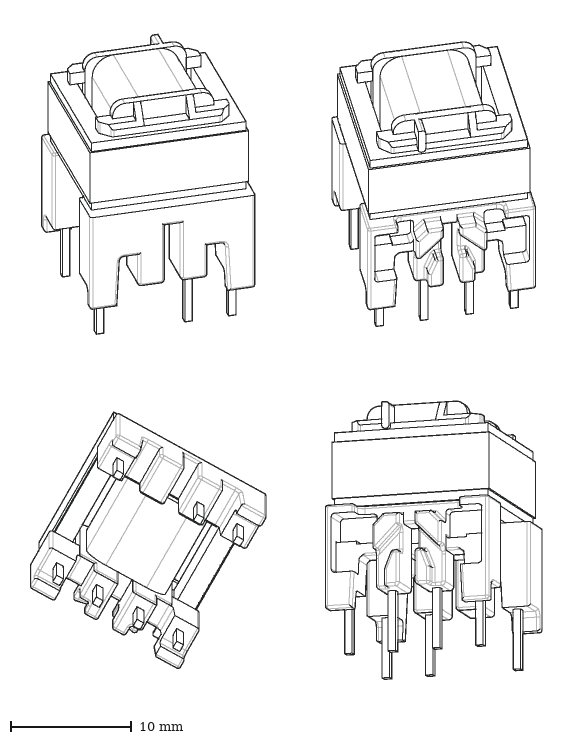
import cadquery as cq

TOP = 21.0
LENGTH_X = 14.92
WIDTH_Y = 14.25
half_x = LENGTH_X / 2
half_y = WIDTH_Y / 2

core_x, core_y = 12.35, 13.36
core_bottom, core_top = 12.27, 18.64
band_step = 0.17
band_bottom, band_top = 13.03, 17.82
window_half_y = 5.0

coil_half_y = 3.76
coil_bottom, coil_top = 9.33, 20.99
coil_round = 1.83

flange_inner, flange_outer = 3.76, 4.54
flange_half_y = 4.37
flange_round = 1.05

collar_inner, collar_outer = 3.89, 5.67
collar_half_y = 5.65
collar_chamfer = 0.95
collar_round = 0.32
collar_top = 19.7
ramp_foot_z = 19.27
rib_inner_y, rib_outer_y = 1.95, 2.58
guide_outer = 6.11
guide_bottom = 18.75
guide_round = 0.27

base_top = core_bottom
body_bottom = 5.08
foot_bottom = 3.49
foot_inner = 6.45
foot_corner = 0.42
gap_half_y, gap_roof = 0.7, 10.55
post_outer_y = 2.994
slot_roof = 8.09
slot_top_y, slot_foot_y = 4.55, 4.8
post_corner = 0.32
slot_corner = 0.4
slot_rim_round = 0.17
edge_round = 0.23
root_round = 0.2

base_front = 6.1
leg_root_round = 0.5
shank_front = foot_inner
groove_level = 10.97
head_top = 11.28
head_chamfer = 0.92
pad_outer_y, pad_shoulder_z = 1.97, 6.55
pad_top_y, pad_neck_y, pad_neck_z, pad_top = 1.26, 1.43, 7.95, 8.13
pocket_outer_y = 6.55
pocket_bottom, pocket_top = 6.51, 11.53
ledge_z, ledge_drop, ledge_step_y = 9.33, 0.23, 4.8
pocket_back = 4.94
pocket_round = 0.32

pin_size = 0.65
pin_x = 5.1
pin_y_inner, pin_y_outer = 1.93, 5.71


def block(x0, x1, y0, y1, z0, z1):
    """Box between two opposite corners."""
    size = cq.Workplane("XY").box(x1 - x0, y1 - y0, z1 - z0, centered=False)
    return size.translate((x0, y0, z0))


def prism_x(points, x0, x1):
    """Closed YZ outline extruded along X."""
    return cq.Workplane("YZ").workplane(offset=x0).polyline(points).close().extrude(x1 - x0)


def prism_y(points, y0, y1):
    """Closed XZ outline extruded along Y."""
    return cq.Workplane("XZ").workplane(offset=-y1).polyline(points).close().extrude(y1 - y0)


def mirror_y(shape):
    """The shape together with its mirror image across the XZ plane."""
    return shape.union(shape.mirror("XZ"))


def make_core():
    ring = block(-core_x / 2, core_x / 2, -core_y / 2, core_y / 2, core_bottom, core_top)
    band_x = core_x / 2 + band_step
    band_y = core_y / 2 + band_step
    ring = ring.union(block(-band_x, band_x, -band_y, band_y, band_bottom, band_top))
    return ring.cut(block(-flange_outer, flange_outer, -window_half_y, window_half_y, core_bottom, core_top))


def make_coil():
    coil = block(-flange_inner, flange_inner, -coil_half_y, coil_half_y, coil_bottom, coil_top)
    return coil.edges("|X").fillet(coil_round)


def make_collar():
    """Ramped collar with the clear space between its ribs, and the ramp outline the ribs share."""
    ramp = [
        (collar_inner, core_top),
        (collar_outer, core_top),
        (collar_outer, ramp_foot_z),
        (flange_outer, TOP),
        (collar_inner, TOP),
    ]
    collar = block(collar_inner, collar_outer, -collar_half_y, collar_half_y, core_top, collar_top)
    collar = collar.edges("|Z and >X").chamfer(collar_chamfer)
    collar = collar.edges("|Z and (not <X)").fillet(collar_round)
    collar = collar.intersect(prism_y(ramp, -collar_half_y, collar_half_y))
    return collar.cut(block(flange_outer, collar_outer, -rib_outer_y, rib_outer_y, ramp_foot_z, TOP)), ramp


def make_flange():
    plate = block(flange_inner, flange_outer, -flange_half_y, flange_half_y, base_top, TOP)
    return plate.edges("|X and >Z").fillet(flange_round)


def make_rib(ramp, side):
    rib = prism_y(ramp, rib_inner_y, rib_outer_y)
    return rib if side > 0 else rib.mirror("XZ")


def make_wire_guide():
    """Upright that takes the place of one rib on the terminal end."""
    guide = block(flange_outer, guide_outer, rib_inner_y, rib_outer_y, guide_bottom, TOP)
    guide = guide.edges("|X and <Z").fillet(guide_round)
    return guide.edges("|X and >Z and <Y").fillet(guide_round)


def base_silhouette(x0, x1):
    """Legs, posts and bridge seen along X, with the rounded inner corners of the slots."""
    half = [
        (gap_half_y, gap_roof),
        (gap_half_y, body_bottom),
        (post_outer_y, body_bottom),
        (post_outer_y, slot_roof),
        (slot_top_y, slot_roof),
        (slot_foot_y, foot_bottom),
        (half_y, foot_bottom),
        (half_y, base_top),
    ]
    other_half = [(-y, z) for y, z in reversed(half)]
    body = prism_x(half + other_half, x0, x1)

    def corners(z, y0, y1):
        right = cq.selectors.BoxSelector((x0 - 0.2, y0, z - 0.2), (x1 + 0.2, y1, z + 0.2))
        left = cq.selectors.BoxSelector((x0 - 0.2, -y1, z - 0.2), (x1 + 0.2, -y0, z + 0.2))
        return right + left

    body = body.edges("|X").edges(corners(body_bottom, 0, post_outer_y + 0.2)).fillet(post_corner)
    return body.edges("|X").edges(corners(slot_roof, slot_top_y - 0.2, slot_top_y + 0.2)).fillet(slot_corner)


def make_base():
    body = base_silhouette(collar_inner, half_x)
    under = block(0, foot_inner, -half_y, half_y, 0, body_bottom)
    under = under.edges("|Y and >X and >Z").fillet(foot_corner)
    body = body.cut(under)
    body = body.faces("<Y or >Y or >X").edges("not(>Z)").fillet(edge_round)
    inner = base_silhouette(flange_inner, base_front)
    inner = inner.intersect(block(0, half_x, -flange_half_y, flange_half_y, body_bottom, base_top))
    rim = cq.selectors.BoxSelector(
        (flange_inner - 0.2, 0.2 - flange_half_y, 0), (flange_inner + 0.2, flange_half_y - 0.2, base_top - 0.2)
    )
    inner = inner.edges(rim).fillet(edge_round)
    return body.union(inner)


def edges_at(x, y0, y1, z0, z1):
    """Selector for edges whose middle lies in a YZ window of the plane at x."""
    return cq.selectors.BoxSelector((x - 0.02, y0, z0), (x + 0.02, y1, z1))


def make_post():
    """Post face: a low shank with a raised head above the slanted groove and a raised pad below it."""
    groove_outer_z = groove_level - post_outer_y
    groove_inner_z = groove_level - gap_half_y
    shank = [
        (gap_half_y, body_bottom),
        (post_outer_y, body_bottom),
        (post_outer_y, groove_outer_z),
        (gap_half_y, groove_inner_z),
    ]
    head = [
        (gap_half_y, head_top),
        (post_outer_y - head_chamfer, head_top),
        (post_outer_y, head_top - head_chamfer),
        (post_outer_y, groove_outer_z),
        (gap_half_y, groove_inner_z),
    ]
    pad = [
        (gap_half_y, body_bottom),
        (pad_outer_y, body_bottom),
        (pad_outer_y, pad_shoulder_z),
        (pad_neck_y, pad_neck_z),
        (pad_top_y, pad_top),
        (gap_half_y, pad_top),
    ]
    post = prism_x(shank, base_front, shank_front)
    post = post.union(prism_x(head, base_front, half_x)).union(prism_x(pad, base_front, half_x))
    middle_y = (gap_half_y + post_outer_y) / 2
    post = post.edges(edges_at(shank_front, middle_y - 0.2, middle_y + 0.2, pad_top, head_top)).fillet(root_round)
    pad_roots = edges_at(shank_front, gap_half_y + 0.2, pad_outer_y + 0.02, body_bottom + 0.2, pad_top + 0.02)
    post = post.edges(pad_roots).fillet(root_round)
    post = post.edges("|X and <Z").edges("<Y or >Y").fillet(post_corner)
    for side_y, lowest_z in ((post_outer_y, body_bottom), (gap_half_y, pad_top)):
        side = edges_at(shank_front, side_y - 0.02, side_y + 0.02, lowest_z, groove_inner_z)
        post = post.edges(side).fillet(edge_round)
    return post.faces(">X").edges("not(<Z)").fillet(edge_round)


def make_pocket():
    """Stepped recess in a leg, opening towards the neighbouring post."""
    upper = block(pocket_back, half_x, post_outer_y, pocket_outer_y, ledge_z - ledge_drop, pocket_top)
    upper = upper.edges("|X").fillet(pocket_round)
    upper = upper.cut(block(pocket_back, half_x, ledge_step_y, pocket_outer_y, 0, ledge_z))
    lower = block(base_front, half_x, post_outer_y, pocket_outer_y, pocket_bottom, pocket_top)
    lower = lower.edges("|X and >Y").fillet(pocket_round)
    return upper.union(lower)


def make_terminal_base():
    base = make_base()
    base = base.cut(block(base_front, half_x, -slot_top_y, slot_top_y, 0, base_top))
    for side in (-1, 1):
        corner = cq.selectors.NearestToPointSelector((base_front, side * slot_top_y, base_top - 0.2))
        base = base.edges("|Z").edges(corner).fillet(leg_root_round)
    rim_rounds = ((base_top, edge_round), (gap_roof, edge_round), (slot_roof, slot_rim_round))
    for level, rim_round in rim_rounds:
        rims = edges_at(base_front, -slot_top_y, slot_top_y, level - 0.02, level + 0.02)
        base = base.edges("|Y").edges(rims).fillet(rim_round)
    base = base.union(mirror_y(make_post()))
    for side in (-1, 1):
        y0, y1 = sorted((side * (gap_half_y + 0.02), side * (post_outer_y - 0.02)))
        head_root = edges_at(base_front, y0, y1, head_top - head_chamfer, head_top + 0.02)
        base = base.edges(head_root).fillet(root_round)
    return base.cut(mirror_y(make_pocket()))


def make_pins(places):
    pins = cq.Workplane("XY").pushPoints(places)
    return pins.rect(pin_size, pin_size).extrude(slot_roof)


collar, ramp = make_collar()
upper_end = make_flange().union(collar)

plain_end = make_base().union(upper_end)
plain_end = plain_end.union(make_rib(ramp, 1)).union(make_rib(ramp, -1))
plain_end = plain_end.union(make_pins([(pin_x, -pin_y_outer), (pin_x, pin_y_inner), (pin_x, pin_y_outer)]))

terminal_end = make_terminal_base().union(upper_end)
terminal_end = terminal_end.union(make_wire_guide()).union(make_rib(ramp, -1))
pin_rows = (-pin_y_outer, -pin_y_inner, pin_y_inner, pin_y_outer)
terminal_end = terminal_end.union(make_pins([(pin_x, y) for y in pin_rows]))

result = make_core().union(make_coil()).union(plain_end).union(terminal_end.mirror("YZ"))